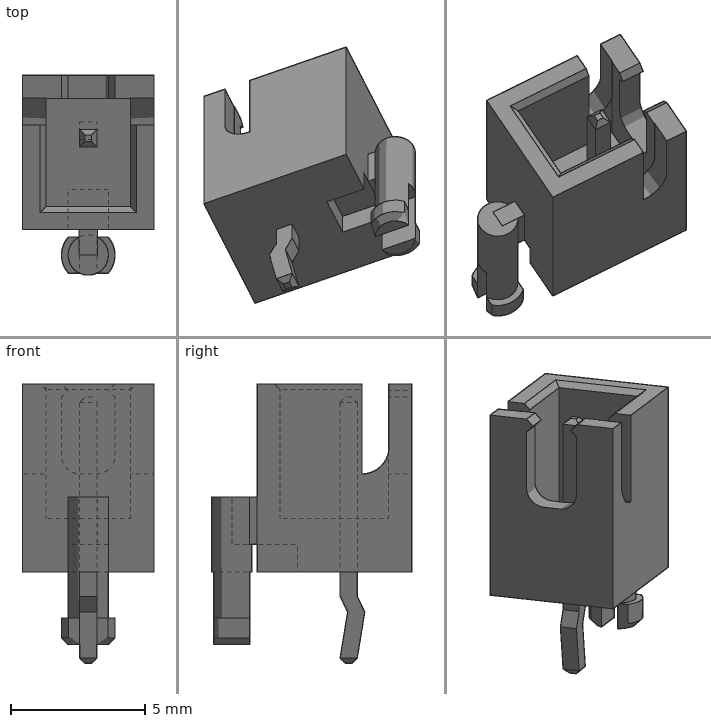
import cadquery as cq

OVERALL_LENGTH = 7.45
OVERALL_HEIGHT = 10.4
OVERSHOOT = 0.1

HOUSING_WIDTH = 4.9
HOUSING_LENGTH = 5.75
HOUSING_HEIGHT = 7.0
SIDE_WALL = 0.87
FRONT_WALL = 0.85
BACK_WALL = 0.87
CAVITY_FLOOR = 2.0
CAVITY_WIDTH = HOUSING_WIDTH - 2 * SIDE_WALL
CAVITY_BACK = HOUSING_LENGTH - BACK_WALL
RIM_CHAMFER = 0.22

SLOT_WIDTH = 1.0
SLOT_TO_BACK = 0.85
SLOT_BACK = HOUSING_LENGTH - SLOT_TO_BACK
SLOT_FRONT = SLOT_BACK - SLOT_WIDTH
SLOT_BOTTOM = 3.65

NOTCH_WIDTH = 2.0
NOTCH_CORNER_RADIUS = 0.69
LIP_GAP = 1.5
LIP_DEPTH = (NOTCH_WIDTH - LIP_GAP) / 2
LIP_TIP_Z = HOUSING_HEIGHT - LIP_DEPTH
LIP_ROOT_Z = LIP_TIP_Z - LIP_DEPTH

RELIEF_WIDTH = 1.5
RELIEF_HEIGHT = 1.03

PIN_SIZE = 0.65
PIN_Y = 3.4
PIN_TOP = 6.5
PIN_BOTTOM = HOUSING_HEIGHT - OVERALL_HEIGHT
PIN_POINT = 0.2
KINK_START = -0.9
KINK_END = -1.49
KINK_OFFSET = 0.28

PEG_DIAMETER = 1.5
PEG_Y = PEG_DIAMETER / 2 - (OVERALL_LENGTH - HOUSING_LENGTH)
PEG_TOP = 2.8
PEG_BOTTOM = -2.7
FLAT_WIDTH = 1.35
COLLAR_DIAMETER = 2.0
COLLAR_TOP = -1.71
COLLAR_CHAMFER = 0.25
COLLAR_ROUNDING = 0.15
SPLIT_WIDTH = 0.65

WEB_WIDTH = 0.7


def block(width, y_start, y_end, z_start, z_end):
    """Box centred on X = 0 between the given Y and Z limits."""
    return (
        cq.Workplane("XY", origin=(0, y_start, z_start))
        .box(width, y_end - y_start, z_end - z_start, centered=(True, False, False))
    )


def make_cavity():
    cavity = block(CAVITY_WIDTH, FRONT_WALL, CAVITY_BACK, CAVITY_FLOOR, HOUSING_HEIGHT)
    rim_length = CAVITY_BACK - FRONT_WALL
    rim = (
        cq.Workplane("XY", origin=(0, FRONT_WALL + rim_length / 2, HOUSING_HEIGHT))
        .rect(CAVITY_WIDTH + 2 * RIM_CHAMFER, rim_length + 2 * RIM_CHAMFER)
        .workplane(offset=-RIM_CHAMFER)
        .rect(CAVITY_WIDTH, rim_length)
        .loft(ruled=True)
    )
    rim = rim.intersect(block(HOUSING_WIDTH, 0, CAVITY_BACK, 0, HOUSING_HEIGHT))
    return cavity.union(rim)


def make_side_slots():
    """One cutter for both side walls; its back lower corner is rounded to the full slot width."""
    top = HOUSING_HEIGHT + OVERSHOOT
    return (
        block(HOUSING_WIDTH + 2 * OVERSHOOT, SLOT_FRONT, SLOT_BACK, SLOT_BOTTOM, top)
        .cut(make_slot_corner())
        .cut(block(CAVITY_WIDTH, SLOT_FRONT, SLOT_BACK, SLOT_BOTTOM, top))
    )


def make_slot_corner():
    """Material left below the quarter-round floor of the side slots."""
    length = HOUSING_WIDTH + 4 * OVERSHOOT
    corner = block(length, SLOT_FRONT, SLOT_BACK, SLOT_BOTTOM, SLOT_BOTTOM + SLOT_WIDTH)
    round_floor = (
        cq.Workplane("YZ", origin=(-length / 2, SLOT_FRONT, SLOT_BOTTOM + SLOT_WIDTH))
        .circle(SLOT_WIDTH)
        .extrude(length)
    )
    return corner.cut(round_floor)


def make_back_notch():
    depth = BACK_WALL + 2 * OVERSHOOT
    start = HOUSING_LENGTH + OVERSHOOT
    slot = (
        block(NOTCH_WIDTH, start - depth, start, SLOT_BOTTOM, LIP_ROOT_Z)
        .edges("|Y and <Z")
        .fillet(NOTCH_CORNER_RADIUS)
    )
    mouth = (
        cq.Workplane("XZ", origin=(0, start, 0))
        .moveTo(-NOTCH_WIDTH / 2, LIP_ROOT_Z)
        .lineTo(-LIP_GAP / 2, LIP_TIP_Z)
        .lineTo(-NOTCH_WIDTH / 2, HOUSING_HEIGHT)
        .lineTo(NOTCH_WIDTH / 2, HOUSING_HEIGHT)
        .lineTo(LIP_GAP / 2, LIP_TIP_Z)
        .lineTo(NOTCH_WIDTH / 2, LIP_ROOT_Z)
        .close()
        .extrude(depth)
    )
    return slot.union(mouth)


def make_housing(pin):
    relief = block(RELIEF_WIDTH, -OVERSHOOT, RELIEF_WIDTH, -OVERSHOOT, RELIEF_HEIGHT)
    return (
        block(HOUSING_WIDTH, 0, HOUSING_LENGTH, 0, HOUSING_HEIGHT)
        .cut(make_cavity())
        .cut(make_side_slots())
        .cut(make_back_notch())
        .cut(relief)
        .cut(pin)
    )


def make_pin():
    """Square contact with a kinked tail and a pyramid point at both ends."""
    half = PIN_SIZE / 2
    tail_end = PIN_BOTTOM + PIN_POINT
    centre_line = [
        (PIN_Y, PIN_TOP - PIN_POINT),
        (PIN_Y, KINK_START),
        (PIN_Y + KINK_OFFSET, KINK_END),
        (PIN_Y, tail_end),
    ]
    front_side = [(y - half, z) for y, z in centre_line]
    back_side = [(y + half, z) for y, z in reversed(centre_line)]
    shank = (
        cq.Workplane("YZ", origin=(-half, 0, 0))
        .polyline(front_side + back_side)
        .close()
        .extrude(PIN_SIZE)
    )
    upper_point = make_pin_point(PIN_Y, PIN_TOP - PIN_POINT, PIN_POINT)
    lower_point = make_pin_point(PIN_Y, tail_end, -PIN_POINT)
    return shank.union(upper_point).union(lower_point)


def make_pin_point(y, z, rise):
    tip_size = PIN_SIZE - 2 * PIN_POINT
    return (
        cq.Workplane("XY", origin=(0, y, z))
        .rect(PIN_SIZE, PIN_SIZE)
        .workplane(offset=rise)
        .rect(tip_size, tip_size)
        .loft(ruled=True)
    )


def make_web():
    return block(WEB_WIDTH, PEG_Y, 0, RELIEF_HEIGHT, PEG_TOP)


def make_peg(web):
    """Round peg with a flattened, split lower part that ends in a snap collar."""
    upper = (
        cq.Workplane("XY", origin=(0, PEG_Y, 0))
        .circle(PEG_DIAMETER / 2)
        .extrude(PEG_TOP)
        .cut(web)
    )
    shank = (
        cq.Workplane("XY", origin=(0, PEG_Y, COLLAR_TOP))
        .circle(PEG_DIAMETER / 2)
        .extrude(-COLLAR_TOP)
        .intersect(make_peg_flats())
    )
    split = block(
        SPLIT_WIDTH, PEG_Y - PEG_DIAMETER, PEG_Y + PEG_DIAMETER, PEG_BOTTOM - OVERSHOOT, 0
    )
    lower = shank.union(make_collar()).cut(split)
    return upper.union(lower)


def make_peg_flats():
    """Slab between the two flats of the lower part of the peg."""
    half = FLAT_WIDTH / 2
    return block(COLLAR_DIAMETER, PEG_Y - half, PEG_Y + half, PEG_BOTTOM, 0)


def make_collar():
    """Flattened collar with a conical lead-in, rounded where the cone meets the flats."""
    return (
        cq.Workplane("XY", origin=(0, PEG_Y, PEG_BOTTOM))
        .circle(COLLAR_DIAMETER / 2)
        .extrude(COLLAR_TOP - PEG_BOTTOM)
        .faces("<Z")
        .chamfer(COLLAR_CHAMFER)
        .intersect(make_peg_flats())
        .edges("%HYPERBOLA")
        .fillet(COLLAR_ROUNDING)
    )


pin = make_pin()
web = make_web()
housing = make_housing(pin)
peg = make_peg(web)

result = cq.Compound.makeCompound([housing.val(), pin.val(), web.val(), peg.val()])